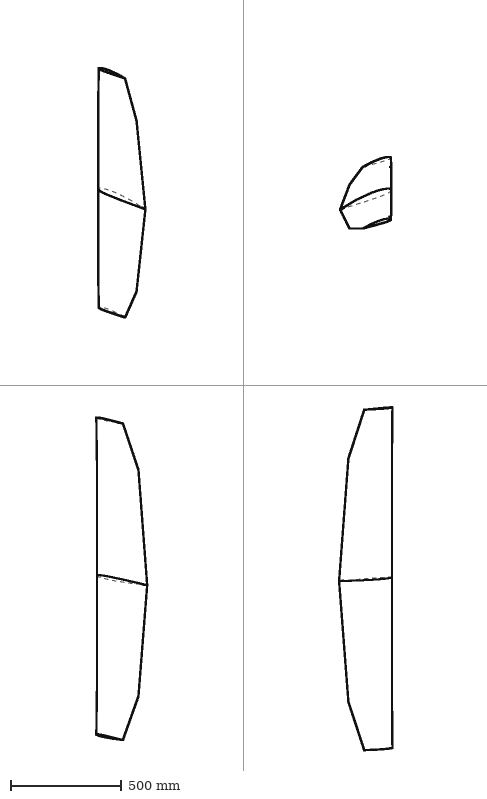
import cadquery as cq
import math

HALF_SPAN = 800.0
BREAK_Z = 572.0

ROOT_CHORD = 251.0
BREAK_CHORD = 207.0
TIP_CHORD = 136.0
TIP_HEIGHT = 6.0
TIP_RISE = 6.0
BREAK_RISE = -3.0
BREAK_TWIST = math.degrees(math.asin(BREAK_RISE / BREAK_CHORD))
TIP_TWIST = math.degrees(math.asin(TIP_RISE / TIP_CHORD))

CAMBER = 0.02
CAMBER_POSITION = 0.45
THICKNESS = 0.12
STEPS = 14


def airfoil_point(angle, side):
    """Point on the unit-chord airfoil; angle runs 0 (nose) to pi (tail), side is +1 upper, -1 lower."""
    x = (1 - math.cos(angle)) / 2
    half_thickness = 5 * THICKNESS * (
        0.2969 * math.sqrt(x) - 0.1260 * x - 0.3516 * x**2 + 0.2843 * x**3 - 0.1036 * x**4
    )
    reach = CAMBER_POSITION if x < CAMBER_POSITION else 1 - CAMBER_POSITION
    offset = (CAMBER_POSITION - x) / reach
    camber = CAMBER * (1 - offset**2)
    slope = math.atan(2 * CAMBER * offset / reach)
    return (
        x - side * half_thickness * math.sin(slope),
        camber + side * half_thickness * math.cos(slope),
    )


def section(z, chord, height=0.0, twist=0.0):
    """Closed airfoil wire at station z, turned about its leading edge by twist degrees."""
    angles = [math.pi * i / STEPS for i in range(STEPS + 1)]
    upper = [airfoil_point(angle, 1) for angle in reversed(angles)]
    lower = [airfoil_point(angle, -1) for angle in angles]
    edges = [
        cq.Edge.makeSpline([cq.Vector(x * chord, y * chord, z) for x, y in surface])
        for surface in (upper, lower)
    ]
    wire = cq.Wire.assembleEdges(edges)
    wire = wire.rotate(cq.Vector(0, 0, z), cq.Vector(0, 0, z + 16), twist)
    return wire.translate(cq.Vector(0, height, 0))


def wing_half(side):
    """One half wing: straight inner panel and twisted tip panel; side is +1 up, -1 down."""
    root = section(0, ROOT_CHORD)
    panel_break = section(side * BREAK_Z, BREAK_CHORD, twist=BREAK_TWIST)
    tip = section(side * HALF_SPAN, TIP_CHORD, TIP_HEIGHT, TIP_TWIST)
    return cq.Solid.makeLoft([root, panel_break, tip], True)


wing_halves = [wing_half(side) for side in (1, -1)]

result = cq.Compound.makeCompound(wing_halves)